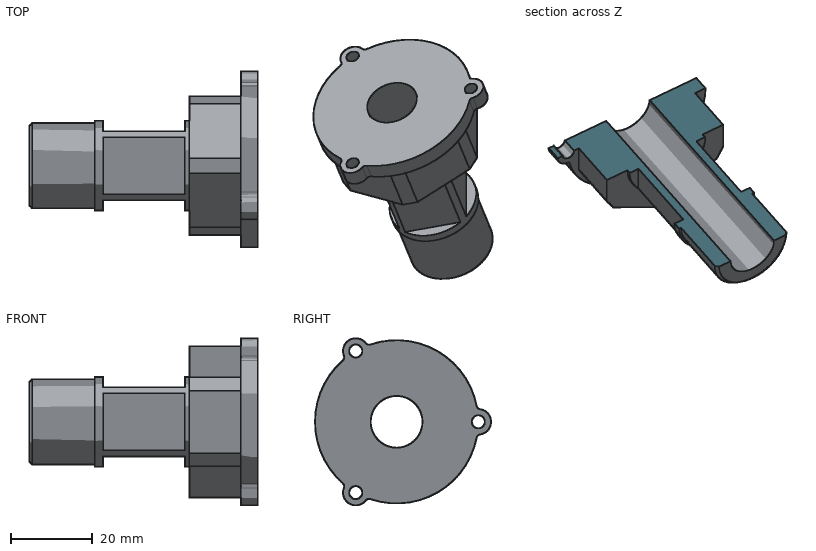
import cadquery as cq
import math

spigot_end = 16.0
front_collar_end = 18.15
rear_collar_start = 38.15
nut_start = 39.2
flange_start = 51.8
total_length = 56.0

spigot_diameter = 20.95
tip_chamfer = 0.8
collar_diameter = 22.0
neck_across_flats = 16.95
bore_diameter = 12.6

nut_across_flats = 34.0
nut_across_cut_corners = 37.1

flange_diameter = 40.0
ear_count = 3
first_ear_angle = 0.0
ear_radius = 3.15
ear_hole_diameter = 3.15
ear_fillet = 1.0


def section(start):
    """Sketch plane facing +X, with local x along Y and local y along Z."""
    return cq.Workplane("YZ", origin=(start, 0, 0))


def cylinder(diameter, start, end):
    return section(start).circle(diameter / 2).extrude(end - start)


def make_spigot():
    return cylinder(spigot_diameter, 0, spigot_end).faces("<X").chamfer(tip_chamfer)


def make_neck():
    """Collar-sized bar with four flats milled between the two collars."""
    bar = cylinder(collar_diameter, spigot_end, nut_start)
    flats_length = rear_collar_start - front_collar_end
    square = section(front_collar_end).rect(neck_across_flats, neck_across_flats).extrude(flats_length)
    flats_waste = cylinder(collar_diameter, front_collar_end, rear_collar_start).cut(square)
    return bar.cut(flats_waste)


def hexagon(across_flats, rotation):
    prism = section(nut_start).polygon(6, across_flats / math.cos(math.pi / 6))
    return prism.extrude(flange_start - nut_start).rotate((0, 0, 0), (1, 0, 0), rotation)


def make_nut():
    """Hexagon with flats facing +Y and -Y, its corners cut by a second hexagon."""
    return hexagon(nut_across_flats, 30).intersect(hexagon(nut_across_cut_corners, 0))


def make_flange():
    """Disc with ears centred on its rim, blended into it by small fillets."""
    disc_radius = flange_diameter / 2
    thickness = total_length - flange_start
    ear_centres = section(flange_start).polarArray(disc_radius, first_ear_angle, 360, ear_count)
    flange = cylinder(flange_diameter, flange_start, total_length)
    flange = flange.union(ear_centres.circle(ear_radius).extrude(thickness))

    half_angle = 2 * math.degrees(math.asin(ear_radius / flange_diameter))
    middle_x = flange_start + thickness / 2
    for ear in range(ear_count):
        for side in (-1, 1):
            angle = math.radians(first_ear_angle + ear * 360 / ear_count + side * half_angle)
            crossing = (middle_x, disc_radius * math.cos(angle), disc_radius * math.sin(angle))
            flange = flange.edges(cq.selectors.NearestToPointSelector(crossing)).fillet(ear_fillet)

    ear_holes = section(flange_start).polarArray(disc_radius, first_ear_angle, 360, ear_count)
    return flange.cut(ear_holes.circle(ear_hole_diameter / 2).extrude(thickness))


body = make_spigot().union(make_neck()).union(make_nut()).union(make_flange())
result = body.cut(cylinder(bore_diameter, 0, total_length))